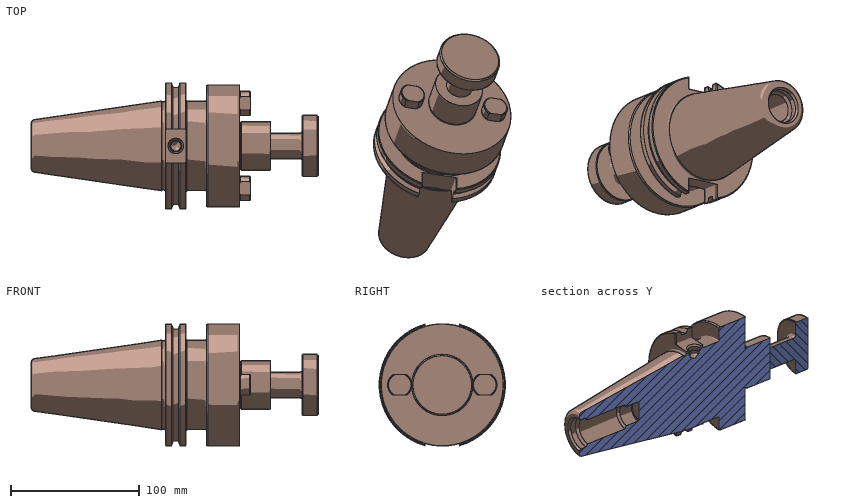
import cadquery as cq
import math


gauge_x = 101.5
gauge_radius = 70.0 / 2
taper_ratio = 7 / 24
tip_radius = gauge_radius - gauge_x * taper_ratio / 2
tip_fillet = 3.1

relief_depth = 0.5
relief_slope_length = 0.5

flange_x = 104.5
flange_width = 16.3
flange_end_x = flange_x + flange_width
flange_radius = 49.2
flange_chamfer = 0.7
groove_top_width = 6.7
groove_floor_width = 4.0
groove_radius = 91.5 / 2

slot_width = 26.5
top_slot_floor = 37.3
bottom_slot_floor = 35.3
slot_chamfer = 0.7
slot_corner_fillet = 0.7

coolant_mouth_diameter = 12.0
coolant_diameter = 9.6
coolant_chamfer = (coolant_mouth_diameter - coolant_diameter) / 2
coolant_depth = 4.5
coolant_drill_diameter = 8.0
coolant_drill_depth = 6.7

neck_radius = 34.9
corner_fillet = 0.7
collar_x = 136.4
collar_end_x = 162.3
collar_radius = 47.6
collar_chamfer_length = 1.3
collar_front_chamfer_rise = 0.7
collar_back_chamfer_rise = 0.2

pilot_radius = 19.0
pilot_end_x = 186.5
pilot_chamfer_length = 1.0
pilot_chamfer_rise = 0.2
undercut_radius = 18.3
undercut_width = 1.5

mouth_diameter = 29.0
counterbore_diameter = 26.4
mouth_chamfer_length = 1.8
counterbore_end_x = 6.5
thread_diameter = 22.0
thread_start_x = 8.3
thread_end_x = 44.7
pocket_diameter = 17.2
pocket_end_x = 58.1
pocket_end_diameter = 15.9
drill_angle = 118.0

screw_shank_radius = 10.0
screw_head_x = 211.0
screw_end_x = 223.5
screw_head_radius = 24.0
screw_neck_fillet = 1.8
screw_inner_chamfer = 0.7
screw_outer_chamfer = 1.1

key_count = 2
key_diameter = 19.0
key_height = 15.9
key_length = 8.5
key_chamfer = 0.7
key_offset = 33.0


def revolve_about_x(outline):
    """Turn a closed outline drawn in the XY plane about the X axis."""
    return outline.close().revolve(360, (0, 0, 0), (1, 0, 0))


def make_turned_body():
    """Outside of the holder, from the taper tip to the pilot end."""
    relief_radius = gauge_radius - relief_depth
    groove_mid_x = (flange_x + flange_end_x) / 2
    groove_top = groove_top_width / 2
    groove_floor = groove_floor_width / 2
    land_radius = flange_radius - flange_chamfer
    outline = (
        cq.Workplane("XY")
        .moveTo(0, 0)
        .lineTo(0, tip_radius)
        .lineTo(gauge_x, gauge_radius)
        .lineTo(gauge_x + relief_slope_length, relief_radius)
        .lineTo(flange_x - corner_fillet, relief_radius)
        .radiusArc((flange_x, relief_radius + corner_fillet), -corner_fillet)
        .lineTo(flange_x, land_radius)
        .lineTo(flange_x + flange_chamfer, flange_radius)
        .lineTo(groove_mid_x - groove_top, flange_radius)
        .lineTo(groove_mid_x - groove_floor, groove_radius)
        .lineTo(groove_mid_x + groove_floor, groove_radius)
        .lineTo(groove_mid_x + groove_top, flange_radius)
        .lineTo(flange_end_x - flange_chamfer, flange_radius)
        .lineTo(flange_end_x, land_radius)
        .lineTo(flange_end_x, neck_radius + corner_fillet)
        .radiusArc((flange_end_x + corner_fillet, neck_radius), -corner_fillet)
        .lineTo(collar_x - corner_fillet, neck_radius)
        .radiusArc((collar_x, neck_radius + corner_fillet), -corner_fillet)
        .lineTo(collar_x, collar_radius - collar_front_chamfer_rise)
        .lineTo(collar_x + collar_chamfer_length, collar_radius)
        .lineTo(collar_end_x - collar_chamfer_length, collar_radius)
        .lineTo(collar_end_x, collar_radius - collar_back_chamfer_rise)
        .lineTo(collar_end_x, undercut_radius)
        .lineTo(collar_end_x + undercut_width / 2, undercut_radius)
        .lineTo(collar_end_x + undercut_width, pilot_radius)
        .lineTo(pilot_end_x - pilot_chamfer_length, pilot_radius)
        .lineTo(pilot_end_x, pilot_radius - pilot_chamfer_rise)
        .lineTo(pilot_end_x, 0)
    )
    tip_edge = cq.selectors.RadiusNthSelector(-1)
    return revolve_about_x(outline).faces("<X").edges(tip_edge).fillet(tip_fillet)


def make_bore():
    """Stepped blind bore that opens at the taper tip."""
    drill_slope = math.tan(math.radians(drill_angle / 2))
    cone_length = (thread_diameter - pocket_diameter) / 2 / drill_slope
    end_chamfer = (pocket_diameter - pocket_end_diameter) / 2
    return revolve_about_x(
        cq.Workplane("XY")
        .moveTo(0, 0)
        .lineTo(0, mouth_diameter / 2)
        .lineTo(mouth_chamfer_length, counterbore_diameter / 2)
        .lineTo(counterbore_end_x, counterbore_diameter / 2)
        .lineTo(thread_start_x, thread_diameter / 2)
        .lineTo(thread_end_x, thread_diameter / 2)
        .lineTo(thread_end_x + cone_length, pocket_diameter / 2)
        .lineTo(pocket_end_x - end_chamfer, pocket_diameter / 2)
        .lineTo(pocket_end_x, pocket_end_diameter / 2)
        .lineTo(pocket_end_x, 0)
    )


def make_drive_slot(floor, side):
    """Cutter for one drive slot, flared at the flange faces and rounded along the floor.

    side is +1 for the slot at the top and -1 for the one at the bottom.
    """
    half_width = slot_width / 2
    half_mouth = half_width + slot_chamfer
    outline = [
        (flange_x, half_mouth),
        (flange_x + slot_chamfer, half_width),
        (flange_end_x - slot_chamfer, half_width),
        (flange_end_x, half_mouth),
    ]
    mirrored = [(x, -y) for x, y in reversed(outline)]
    slot = cq.Workplane("XY").workplane(offset=side * floor).polyline(outline + mirrored)
    slot = slot.close().extrude(side * (flange_radius - floor))
    floor_face = slot.faces("<Z" if side > 0 else ">Z")
    return floor_face.edges("not (<X or >X)").fillet(slot_corner_fillet)


def make_coolant_hole():
    """Cutter for the stepped hole with a drill-point end in the top slot."""
    drill_radius = coolant_drill_diameter / 2
    point_length = drill_radius / math.tan(math.radians(drill_angle / 2))
    cutter = (
        cq.Workplane("XZ")
        .moveTo(0, 0)
        .lineTo(coolant_mouth_diameter / 2, 0)
        .lineTo(coolant_diameter / 2, -coolant_chamfer)
        .lineTo(coolant_diameter / 2, -coolant_depth)
        .lineTo(drill_radius, -coolant_depth)
        .lineTo(drill_radius, -coolant_drill_depth)
        .lineTo(0, -coolant_drill_depth - point_length)
        .close()
        .revolve(360, (0, 0, 0), (0, 1, 0))
    )
    return cutter.translate(((flange_x + flange_end_x) / 2, 0, top_slot_floor))


def make_holder():
    return (
        make_turned_body()
        .cut(make_bore())
        .cut(make_drive_slot(top_slot_floor, 1))
        .cut(make_drive_slot(bottom_slot_floor, -1))
        .cut(make_coolant_hole())
    )


def make_screw():
    """Clamping screw whose shank meets the end of the pilot."""
    return revolve_about_x(
        cq.Workplane("XY")
        .moveTo(pilot_end_x, 0)
        .lineTo(pilot_end_x, screw_shank_radius)
        .lineTo(screw_head_x - screw_neck_fillet, screw_shank_radius)
        .radiusArc((screw_head_x, screw_shank_radius + screw_neck_fillet), -screw_neck_fillet)
        .lineTo(screw_head_x, screw_head_radius - screw_inner_chamfer)
        .lineTo(screw_head_x + screw_inner_chamfer, screw_head_radius)
        .lineTo(screw_end_x - screw_outer_chamfer, screw_head_radius)
        .lineTo(screw_end_x, screw_head_radius - screw_outer_chamfer)
        .lineTo(screw_end_x, 0)
    )


def make_drive_key(angle):
    """Round key with two flats, standing on the collar face at an angle from +Y."""
    key = cq.Workplane("YZ").circle(key_diameter / 2).extrude(key_length)
    key = key.faces("<X or >X").chamfer(key_chamfer)
    flats = cq.Workplane("YZ").rect(key_diameter, key_height).extrude(key_length)
    key = key.intersect(flats).translate((collar_end_x, key_offset, 0))
    return key.rotate((0, 0, 0), (1, 0, 0), angle)


holder = make_holder()
screw = make_screw()
drive_keys = [make_drive_key(i * 360 / key_count) for i in range(key_count)]

result = cq.Compound.makeCompound(
    [holder.val(), screw.val(), *[key.val() for key in drive_keys]]
)